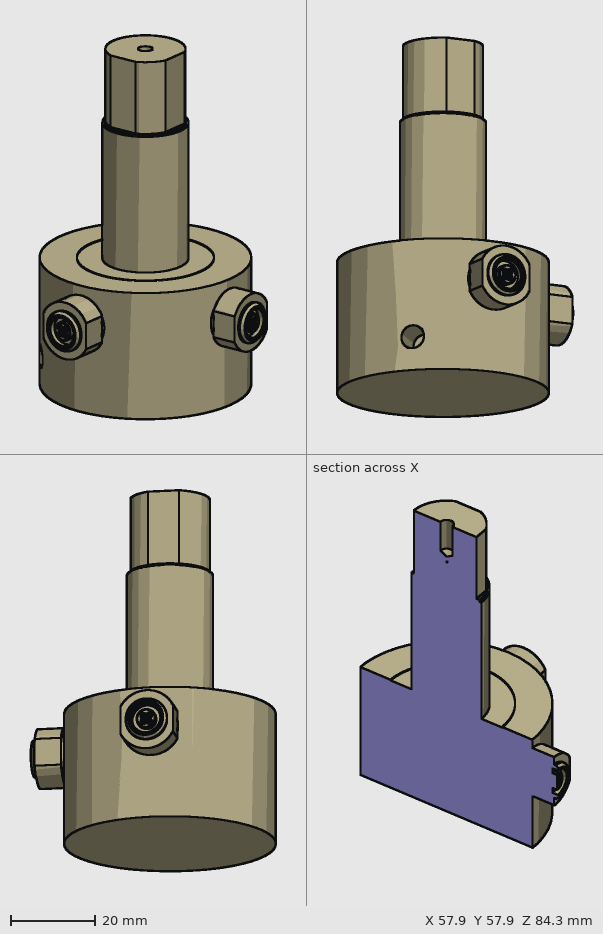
import cadquery as cq
import math

total_height = 84.25
body_diameter = 50.2
body_height = 31.8
cover_diameter = 32.5
cover_recess = 0.2

shaft_diameter = 20.5
shaft_top = 65.7
collar_diameter = 19.3
collar_height = 0.5
spigot_diameter = 19.0
flat_distance = 8.8
center_hole_diameter = 3.45
center_hole_depth = 8.4
drill_point_angle = 118

side_hole_diameter = 5.6
side_hole_depth = 10.1
side_hole_height = 8.1
side_hole_angle = 225

connector_angles = (0, 270)
connector_height = 22.2
neck_root = 21.1
nut_diameter = 14.2
nut_width = 12.6
nut_length = 6.3
rim_diameter = 9.9
rim_length = 1.35
rim_straight = 0.5
rim_tip_diameter = 8.4
bore_diameter = 7.0
bore_depth = 1.85
bore_chamfer = 0.25
insert_diameter = 4.55
insert_setback = 0.5
insert_chamfer = 0.2
contact_count = 4
first_contact_angle = 45
contact_circle_radius = 1.0
contact_diameter = 1.3
contact_depth = 0.3
contact_bore_diameter = 0.71
contact_bore_depth = 1.3

body_radius = body_diameter / 2
spigot_bottom = shaft_top + collar_height
nut_end = body_radius + nut_length
connector_end = nut_end + rim_length


def rod(diameter, bottom, top):
    """Cylinder on the Z axis between two heights."""
    return cq.Workplane("XY").workplane(offset=bottom).circle(diameter / 2).extrude(top - bottom)


def make_housing():
    """Drum whose round top cover sits slightly below the rim."""
    recess = rod(cover_diameter, body_height - cover_recess, body_height)
    return rod(body_diameter, 0, body_height).cut(recess)


def make_shaft():
    """Shaft with a spigot that has flats facing +X and -Y."""
    spigot = rod(spigot_diameter, spigot_bottom, total_height)
    square_size = 2 * spigot_diameter
    flat_limits = (
        cq.Workplane("XY", origin=(0, 0, spigot_bottom))
        .center(flat_distance - square_size / 2, square_size / 2 - flat_distance)
        .rect(square_size, square_size)
        .extrude(total_height - spigot_bottom)
    )
    lower = rod(shaft_diameter, 0, shaft_top)
    collar = rod(collar_diameter, shaft_top, spigot_bottom)
    return lower.union(collar).union(spigot.intersect(flat_limits))


def make_center_hole():
    """Drilled hole with a conical bottom."""
    radius = center_hole_diameter / 2
    point_length = radius / math.tan(math.radians(drill_point_angle / 2))
    floor = total_height - center_hole_depth
    return (
        cq.Workplane("XZ")
        .moveTo(0, total_height)
        .lineTo(radius, total_height)
        .lineTo(radius, floor)
        .lineTo(0, floor - point_length)
        .close()
        .revolve(360, (0, 0, 0), (0, 1, 0))
    )


def point_outward(part, angle, height):
    """Turn a part built along Z to run radially from the drum axis."""
    laid_down = part.rotate((0, 0, 0), (0, 1, 0), 90)
    return laid_down.rotate((0, 0, 0), (0, 0, 1), angle).translate((0, 0, height))


def make_side_hole():
    """Blind radial hole."""
    hole = rod(side_hole_diameter, body_radius - side_hole_depth, body_radius)
    return point_outward(hole, side_hole_angle, side_hole_height)


def make_connector():
    """Connector along Z: neck, nut with two flats, rim, bore and contact insert."""
    neck = rod(nut_width, neck_root, body_radius)
    flats = (
        cq.Workplane("XY", origin=(0, 0, body_radius))
        .rect(nut_diameter, nut_width)
        .extrude(nut_length)
    )
    nut = rod(nut_diameter, body_radius, nut_end).intersect(flats)
    rim_straight_end = nut_end + rim_straight
    rim_base = rod(rim_diameter, nut_end, rim_straight_end)
    rim_taper = (
        cq.Workplane("XY", origin=(0, 0, rim_straight_end))
        .circle(rim_diameter / 2)
        .workplane(offset=rim_length - rim_straight)
        .circle(rim_tip_diameter / 2)
        .loft(ruled=True)
    )
    connector = neck.union(nut).union(rim_base).union(rim_taper)

    bore = rod(bore_diameter, connector_end - bore_depth, connector_end)
    connector = connector.cut(bore)
    mouth = connector.faces(">Z").edges(cq.selectors.RadiusNthSelector(0))
    connector = mouth.chamfer(bore_chamfer)

    insert_end = connector_end - insert_setback
    insert = rod(insert_diameter, connector_end - bore_depth, insert_end)
    insert = insert.faces(">Z").chamfer(insert_chamfer)
    for diameter, depth in (
        (contact_diameter, contact_depth),
        (contact_bore_diameter, contact_bore_depth),
    ):
        contacts = (
            cq.Workplane("XY", origin=(0, 0, insert_end))
            .polarArray(contact_circle_radius, first_contact_angle, 360, contact_count)
            .circle(diameter / 2)
            .extrude(-depth)
        )
        insert = insert.cut(contacts)
    return connector.union(insert)


result = make_housing().union(make_shaft())
result = result.cut(make_center_hole()).cut(make_side_hole())
for connector_angle in connector_angles:
    result = result.union(point_outward(make_connector(), connector_angle, connector_height))